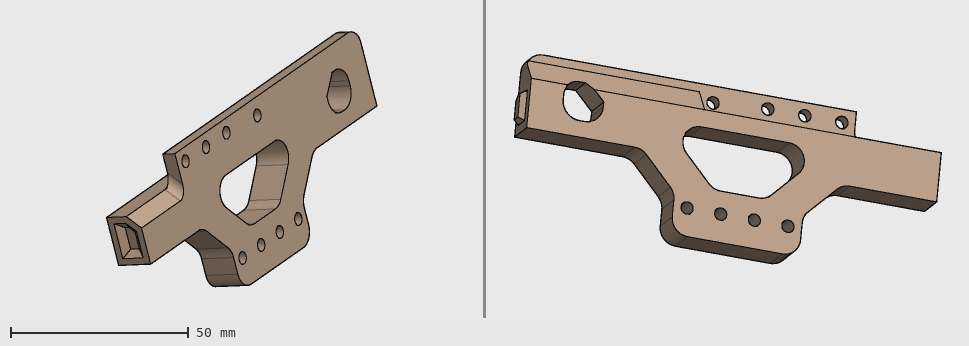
import cadquery as cq
import math

TILT = 16.0

RAIL_LENGTH = 122.0
THICKNESS = 11.0
RAIL_BOTTOM = 23.2
RAIL_TOP = 37.75
CHAMFER_DROP = 3.6

PLATE_THICKNESS = 4.2
PLATE_LEFT = THICKNESS - PLATE_THICKNESS
PLATE_TOP = 47.27
PLATE_START = 23.9
PLATE_CORNER_RADIUS = 5.0
PLATE_FOOT_RADIUS = 3.0

BRACE_START = 70.45
BRACE_TOP = 44.8

PEDESTAL_CENTER = 57.87
PEDESTAL_WIDTH = 38.2
PEDESTAL_SIDE_TOP = 12.05
PEDESTAL_RADIUS = 5.0
FLANK_ANGLE = 46.0

WINDOW_BOTTOM = 15.0
WINDOW_TOP = 32.6
WINDOW_WIDTH = 36.05
WINDOW_RADIUS = 5.0

BIG_HOLE_Y = 106.1
BIG_HOLE_Z = 33.98
BIG_HOLE_SIZE = 11.9
BIG_HOLE_STRAIGHT = 1.5
BIG_HOLE_CORNER_RADIUS = (BIG_HOLE_SIZE - BIG_HOLE_STRAIGHT) / 2
BIG_HOLE_FLAT_DISTANCE = 4.7
BIG_HOLE_FLAT_ANGLE = 45.0

SCREW_DIAMETER = 3.6
PEDESTAL_SCREW_PITCH = 10.0
PEDESTAL_SCREW_COUNT = 4
PEDESTAL_SCREW_Z = 8.3
PLATE_SCREW_PITCH = 11.0
PLATE_SCREW_COUNT = 3
PLATE_SCREW_FIRST_Y = 27.9
PLATE_SCREW_Z = 43.4
LONE_SCREW_Y = 66.1
LONE_SCREW_Z = 42.3

SOCKET_MOUTH_INSET = 2.0
SOCKET_FLOOR_INSET = 4.0
SOCKET_DEPTH = 2.0
SPIGOT_BASE_INSET = 2.75
SPIGOT_TIP_INSET = 3.8
SPIGOT_HEIGHT = 1.75

RAIL_OUTLINE = [
    (0, RAIL_BOTTOM),
    (THICKNESS, RAIL_BOTTOM),
    (THICKNESS, RAIL_TOP - CHAMFER_DROP),
    (PLATE_LEFT, RAIL_TOP),
    (0, RAIL_TOP),
]


def prism_along_y(points, start, end):
    """Extrude an XZ outline from y = start to y = end."""
    return cq.Workplane("XZ", origin=(0, start, 0)).polyline(points).close().extrude(start - end)


def prism_along_x(points):
    """Extrude a YZ outline through the full thickness."""
    return cq.Workplane("YZ").polyline(points).close().extrude(THICKNESS)


def make_rail():
    return prism_along_y(RAIL_OUTLINE, 0, RAIL_LENGTH)


def make_plate():
    """Plate and brace, with the upper +Y corner rounded."""
    plate = prism_along_y(
        [
            (PLATE_LEFT, RAIL_BOTTOM),
            (THICKNESS, RAIL_BOTTOM),
            (THICKNESS, PLATE_TOP),
            (PLATE_LEFT, PLATE_TOP),
        ],
        PLATE_START,
        RAIL_LENGTH,
    )
    brace = prism_along_y(
        [(0, RAIL_TOP), (PLATE_LEFT, RAIL_TOP), (PLATE_LEFT, BRACE_TOP)],
        BRACE_START,
        RAIL_LENGTH,
    )
    envelope = (
        cq.Workplane("XY")
        .box(THICKNESS, RAIL_LENGTH, PLATE_TOP, centered=False)
        .edges(">Y and >Z")
        .fillet(PLATE_CORNER_RADIUS)
    )
    return plate.union(brace).intersect(envelope)


def round_plate_foot(body):
    """Fillet the corner between the plate's -Y end and the rail chamfer."""
    corner = (THICKNESS - PLATE_THICKNESS / 2, PLATE_START, RAIL_TOP - CHAMFER_DROP / 2)
    return body.edges(cq.selectors.NearestToPointSelector(corner)).fillet(PLATE_FOOT_RADIUS)


def make_pedestal():
    """Block with two flanks spreading up to the rail, all its corners rounded."""
    half_width = PEDESTAL_WIDTH / 2
    flank_run = (RAIL_BOTTOM - PEDESTAL_SIDE_TOP) / math.tan(math.radians(FLANK_ANGLE))
    rounded_corners = [
        (half_width, 0),
        (half_width, PEDESTAL_SIDE_TOP),
        (half_width + flank_run, RAIL_BOTTOM),
    ]
    strip_half = half_width + flank_run + PEDESTAL_RADIUS
    strip_top = RAIL_TOP - CHAMFER_DROP
    half_outline = rounded_corners + [(strip_half, RAIL_BOTTOM), (strip_half, strip_top)]
    right_side = [(PEDESTAL_CENTER + y, z) for y, z in half_outline]
    left_side = [(PEDESTAL_CENTER - y, z) for y, z in reversed(half_outline)]
    pedestal = prism_along_x(right_side + left_side)
    for side in (-1, 1):
        for y, z in rounded_corners:
            corner = (THICKNESS / 2, PEDESTAL_CENTER + side * y, z)
            edge = pedestal.edges(cq.selectors.NearestToPointSelector(corner))
            pedestal = edge.fillet(PEDESTAL_RADIUS)
    return pedestal


def make_window():
    """Trapezoid with the flank slope of the pedestal and rounded corners."""
    angle = math.radians(FLANK_ANGLE)
    top_half = WINDOW_WIDTH / 2 - WINDOW_RADIUS
    core_height = WINDOW_TOP - WINDOW_BOTTOM - 2 * WINDOW_RADIUS
    bottom_half = top_half - core_height / math.tan(angle)
    bottom_z = WINDOW_BOTTOM + WINDOW_RADIUS
    core = [
        (PEDESTAL_CENTER - bottom_half, bottom_z),
        (PEDESTAL_CENTER + bottom_half, bottom_z),
        (PEDESTAL_CENTER + top_half, bottom_z + core_height),
        (PEDESTAL_CENTER - top_half, bottom_z + core_height),
    ]
    return cq.Workplane("YZ").polyline(core).close().offset2D(WINDOW_RADIUS).extrude(THICKNESS)


def round_hole(y, z, radius):
    return cq.Workplane("YZ").center(y, z).circle(radius).extrude(THICKNESS)


def make_big_hole():
    """Rounded square hole whose upper -Y corner is closed off by a flat."""
    hole = (
        cq.Workplane("YZ")
        .center(BIG_HOLE_Y, BIG_HOLE_Z)
        .rect(BIG_HOLE_SIZE, BIG_HOLE_SIZE)
        .extrude(THICKNESS)
        .edges("|X")
        .fillet(BIG_HOLE_CORNER_RADIUS)
    )
    beyond_flat = (
        cq.Workplane("XY")
        .box(THICKNESS, 2 * BIG_HOLE_SIZE, BIG_HOLE_SIZE, centered=(False, True, False))
        .translate((0, 0, BIG_HOLE_FLAT_DISTANCE))
        .rotate((0, 0, 0), (1, 0, 0), BIG_HOLE_FLAT_ANGLE)
        .translate((0, BIG_HOLE_Y, BIG_HOLE_Z))
    )
    return hole.cut(beyond_flat)


def screw_positions():
    first_y = PEDESTAL_CENTER - PEDESTAL_SCREW_PITCH * (PEDESTAL_SCREW_COUNT - 1) / 2
    pedestal = [
        (first_y + i * PEDESTAL_SCREW_PITCH, PEDESTAL_SCREW_Z) for i in range(PEDESTAL_SCREW_COUNT)
    ]
    plate = [
        (PLATE_SCREW_FIRST_Y + i * PLATE_SCREW_PITCH, PLATE_SCREW_Z) for i in range(PLATE_SCREW_COUNT)
    ]
    return pedestal + plate + [(LONE_SCREW_Y, LONE_SCREW_Z)]


def tapered_plug(y, base_inset, tip_inset, height):
    """Rail outline shrunk by base_inset at y, narrowing towards +Y to tip_inset."""

    def inset_wire(inset, at_y):
        outline = cq.Workplane("XZ", origin=(0, at_y, 0)).polyline(RAIL_OUTLINE).close()
        return outline.offset2D(-inset).val()

    wires = [inset_wire(base_inset, y), inset_wire(tip_inset, y + height)]
    return cq.Workplane(cq.Solid.makeLoft(wires, True))


body = round_plate_foot(make_rail().union(make_plate()))
body = body.union(make_pedestal())
body = body.cut(make_window()).cut(make_big_hole())
for screw_y, screw_z in screw_positions():
    body = body.cut(round_hole(screw_y, screw_z, SCREW_DIAMETER / 2))
body = body.cut(tapered_plug(0, SOCKET_MOUTH_INSET, SOCKET_FLOOR_INSET, SOCKET_DEPTH))
body = body.union(tapered_plug(RAIL_LENGTH, SPIGOT_BASE_INSET, SPIGOT_TIP_INSET, SPIGOT_HEIGHT))
result = body.rotate((0, 0, 0), (0, 1, 0), -TILT)